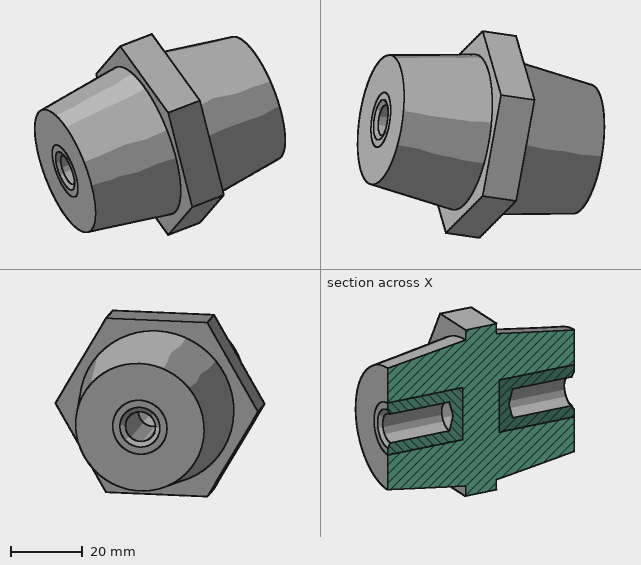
import cadquery as cq
import math

length = 60.0
collar_sides = 6
collar_across_flats = 50.0
collar_thickness = 10.0
barrel_root_diameter = 44.0
barrel_end_diameter = 36.6

insert_diameter = 15.5
insert_depth = 24.0
bore_diameter = 8.5
bore_depth = 19.8
drill_point_angle = 150.0
countersink_diameter = 11.4
countersink_angle = 120.0

end_turns = (0, 180)

half_length = length / 2
half_collar = collar_thickness / 2
collar_across_corners = collar_across_flats / math.cos(math.pi / collar_sides)


def cone_height(radius, included_angle):
    """Axial height of a cone with this base radius and included angle."""
    return radius / math.tan(math.radians(included_angle / 2))


def revolve_about_y(points):
    """Solid of revolution from a closed (y, radius) outline."""
    return cq.Workplane("YZ").polyline(points).close().revolve(360, (0, 0, 0), (1, 0, 0))


def make_collar():
    """Hexagonal prism centred on the origin, with two corners on the X axis."""
    return (
        cq.Workplane("XZ")
        .polygon(collar_sides, collar_across_corners)
        .extrude(half_collar, both=True)
    )


def make_barrel():
    """Tapered barrel on the +Y side, narrowing from the collar face to the end."""
    return revolve_about_y([
        (half_collar, 0),
        (half_collar, barrel_root_diameter / 2),
        (half_length, barrel_end_diameter / 2),
        (half_length, 0),
    ])


def make_insert_pocket():
    """Cylindrical recess that an insert fills, at the +Y end."""
    return cq.Workplane("XZ", origin=(0, half_length, 0)).circle(insert_diameter / 2).extrude(insert_depth)


def make_insert():
    """Insert at the +Y end, with a countersunk blind bore that ends in a drill point."""
    bore_radius = bore_diameter / 2
    countersink_radius = countersink_diameter / 2
    countersink_depth = cone_height(countersink_radius - bore_radius, countersink_angle)
    bore_floor = half_length - bore_depth
    bore_tip = bore_floor - cone_height(bore_radius, drill_point_angle)
    insert_floor = half_length - insert_depth
    return revolve_about_y([
        (insert_floor, 0),
        (insert_floor, insert_diameter / 2),
        (half_length, insert_diameter / 2),
        (half_length, countersink_radius),
        (half_length - countersink_depth, bore_radius),
        (bore_floor, bore_radius),
        (bore_tip, 0),
    ])


def at_end(shape, turn):
    """Turn a +Y end shape about Z: 0 leaves it there, 180 moves it to the -Y end."""
    return shape.rotate((0, 0, 0), (0, 0, 1), turn)


def make_housing():
    """Collar with a barrel on each side and an insert pocket in each end."""
    body = make_collar()
    for turn in end_turns:
        body = body.union(at_end(make_barrel(), turn))
    for turn in end_turns:
        body = body.cut(at_end(make_insert_pocket(), turn))
    return body.solids()


housing = make_housing()
inserts = [at_end(make_insert(), turn) for turn in end_turns]

result = cq.Compound.makeCompound([housing.val(), *[insert.val() for insert in inserts]])